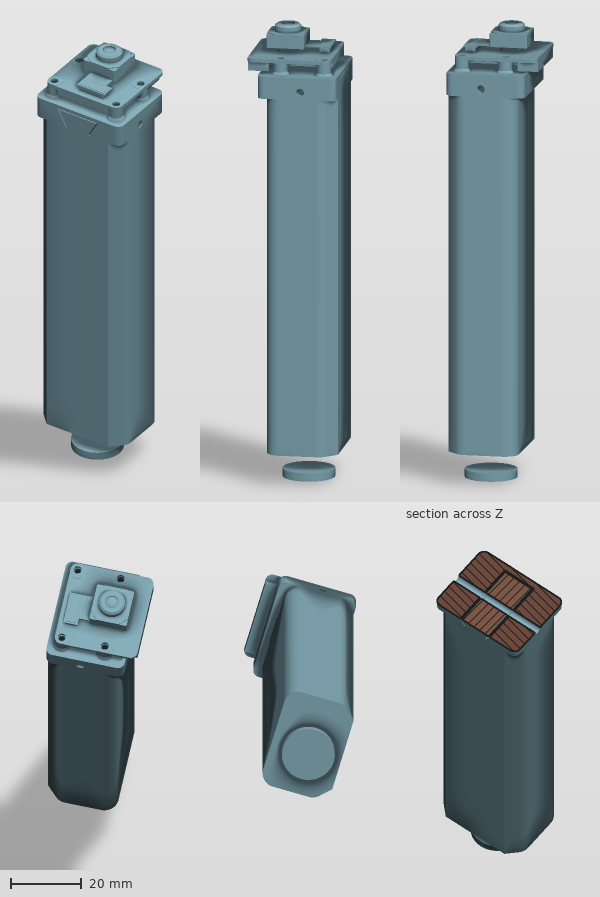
import cadquery as cq
import math

DISC_THICKNESS = 2.4
TUBE_BOTTOM = 9.0
TUBE_LENGTH = 103.7
CAP_HEIGHT = 6.5
POST_HEIGHT = 3.5
BOARD_THICKNESS = 1.0
TOTAL_HEIGHT = 131.4

CAP_BOTTOM = TUBE_BOTTOM + TUBE_LENGTH
CAP_TOP = CAP_BOTTOM + CAP_HEIGHT
BOARD_BOTTOM = CAP_TOP + POST_HEIGHT
BOARD_TOP = BOARD_BOTTOM + BOARD_THICKNESS

WIDTH = 29.0
TUBE_DEPTH = 20.4
TUBE_CORNER = 4.1

TONGUE_HEIGHT = 5.0
TONGUE_ROOT_WIDTH = 7.2
TONGUE_TOP_WIDTH = 12.7
DOVETAIL_GAP = 0.3

CAP_DEPTH = 22.6
CAP_CORNER_RADIUS = 2.0
POST_DIAMETER = 3.8
POST_FOOT_DIAMETER = 5.1
POST_FOOT_HEIGHT = 0.9
POST_BORE = 1.8
LOCK_HOLE_DIAMETER = 2.2
LOCK_HOLE_Y = TUBE_DEPTH / 2
LOCK_HOLE_BELOW_TOP = 4.2

BOARD_WIDTH = 25.0
BOARD_LENGTH = 23.9
BOARD_REAR = 25.9
BOARD_FRONT = BOARD_REAR - BOARD_LENGTH
HOLE_INSET = 2.0
HOLE_ROW_SPACING = 12.5
BOARD_HOLE = 2.2
PAD_DIAMETER = 5.1
PAD_THICKNESS = 0.07
POST_X = BOARD_WIDTH / 2 - HOLE_INSET
FRONT_POST_Y = BOARD_FRONT + HOLE_INSET
REAR_POST_Y = FRONT_POST_Y + HOLE_ROW_SPACING
POST_POINTS = [(x, y) for x in (-POST_X, POST_X) for y in (FRONT_POST_Y, REAR_POST_Y)]

SOCKET_WIDTH = 21.0
SOCKET_DEPTH = 5.9
SOCKET_HEIGHT = 2.9
SPACER_WIDTH = 16.3
SPACER_HEIGHT = 1.6

CAMERA_Y = 16.2
PILLAR_WIDTH = 6.0
PILLAR_CHAMFER = 1.0
CAMERA_WIDTH = 10.8
PILLAR_HEIGHT = 1.6
CAMERA_BOTTOM = BOARD_TOP + PILLAR_HEIGHT
CAMERA_TOP = 129.3
CAMERA_EDGE_RADIUS = 0.5
CORNER_STEP_LEG = 2.2
CORNER_STEP_DEPTH = 0.3

BARREL_DIAMETER = 7.5
RIM_DIAMETER = 6.3
RIM_BEVEL_HEIGHT = 0.5
LENS_DIAMETER = 3.8
LENS_RECESS = 0.4
LENS_DOME = 0.3

CABLE_THICKNESS = 0.4
CABLE_LEFT = -2.6
NECK_RIGHT = 4.6
FOOT_RIGHT = 6.7
FOOT_FRONT = 3.5
FOOT_REAR = 7.6
PLUG_LEFT = -2.1
PLUG_RIGHT = 6.2
PLUG_FRONT = 4.0
PLUG_REAR = 6.8
PLUG_ABOVE_CABLE = 0.1

DISC_DIAMETER = 15.0
DISC_Y = TUBE_DEPTH / 2


def block(x_range, y_range, z_range):
    """Box given by its limits along each axis."""
    (x0, x1), (y0, y1), (z0, z1) = x_range, y_range, z_range
    return cq.Workplane("XY").box(x1 - x0, y1 - y0, z1 - z0, centered=False).translate((x0, y0, z0))


def centred_block(width, y_range, z_range):
    """Box centred on X."""
    return block((-width / 2, width / 2), y_range, z_range)


def cylinders(points, diameter, bottom, height):
    """Equal upright cylinders at the given points."""
    return cq.Workplane("XY").workplane(offset=bottom).pushPoints(points).circle(diameter / 2).extrude(height)


def dovetail(gap):
    """Dovetail rising from the tube's end face, widened by the gap on its flanks, top and rear."""
    flank_rise = 2 * TONGUE_HEIGHT
    flank_run = TONGUE_TOP_WIDTH - TONGUE_ROOT_WIDTH
    side_gap = gap * math.hypot(flank_rise, flank_run) / flank_rise
    root_half = TONGUE_ROOT_WIDTH / 2 + side_gap
    height = TONGUE_HEIGHT + gap
    top_half = root_half + height * flank_run / flank_rise
    outline = [(-root_half, 0), (root_half, 0), (top_half, height), (-top_half, height)]
    return (
        cq.Workplane("XZ", origin=(0, 0, CAP_BOTTOM)).polyline(outline).close().extrude(-(TUBE_DEPTH + gap))
    )


def lock_hole():
    """Cross hole that runs through the cap and the tongue."""
    center = (-WIDTH / 2, LOCK_HOLE_Y, CAP_TOP - LOCK_HOLE_BELOW_TOP)
    return cq.Workplane("YZ", origin=center).circle(LOCK_HOLE_DIAMETER / 2).extrude(WIDTH)


def make_tube():
    """Long body with chamfered and eased front corners, rounded rear corners and a dovetail tongue."""
    half = WIDTH / 2
    outline = [
        (-half + TUBE_CORNER, 0),
        (half - TUBE_CORNER, 0),
        (half, TUBE_CORNER),
        (half, TUBE_DEPTH),
        (-half, TUBE_DEPTH),
        (-half, TUBE_CORNER),
    ]
    body = (
        cq.Workplane("XY", origin=(0, 0, TUBE_BOTTOM)).polyline(outline).close().extrude(TUBE_LENGTH)
        .edges("|Z and (<X or >X)").fillet(TUBE_CORNER)
    )
    return body.union(dovetail(0)).cut(lock_hole())


def make_cap():
    """Rounded block with a dovetail slot and four bored posts on flared feet."""
    body = centred_block(WIDTH, (0, CAP_DEPTH), (CAP_BOTTOM, CAP_TOP)).edges("|Z").fillet(CAP_CORNER_RADIUS)
    body = body.cut(dovetail(DOVETAIL_GAP)).cut(lock_hole())
    body = body.union(cylinders(POST_POINTS, POST_DIAMETER, CAP_TOP, POST_HEIGHT))
    foot = cq.Solid.makeCone(POST_FOOT_DIAMETER / 2, POST_DIAMETER / 2, POST_FOOT_HEIGHT)
    for x, y in POST_POINTS:
        body = body.union(cq.Workplane(foot.translate(cq.Vector(x, y, CAP_TOP))))
    return body.cut(cylinders(POST_POINTS, POST_BORE, CAP_TOP, POST_HEIGHT))


def board_slab(bottom, top):
    """Slab with the rounded outline of the circuit board."""
    slab = centred_block(BOARD_WIDTH, (BOARD_FRONT, BOARD_REAR), (bottom, top))
    return slab.edges("|Z").fillet(HOLE_INSET)


def make_circuit_board():
    """Board with ring pads around its holes and two blocks on its underside."""
    board = board_slab(BOARD_BOTTOM, BOARD_TOP)
    pad_top = BOARD_TOP + PAD_THICKNESS
    pads = board_slab(BOARD_TOP, pad_top).intersect(
        cylinders(POST_POINTS, PAD_DIAMETER, BOARD_TOP, PAD_THICKNESS)
    )
    socket_front = BOARD_REAR - SOCKET_DEPTH
    socket = centred_block(
        SOCKET_WIDTH, (socket_front, BOARD_REAR), (BOARD_BOTTOM - SOCKET_HEIGHT, BOARD_BOTTOM)
    )
    spacer = centred_block(
        SPACER_WIDTH, (BOARD_FRONT, socket_front), (BOARD_BOTTOM - SPACER_HEIGHT, BOARD_BOTTOM)
    )
    board = board.union(pads).union(socket).union(spacer)
    return board.cut(cylinders(POST_POINTS, BOARD_HOLE, BOARD_BOTTOM, pad_top - BOARD_BOTTOM))


def camera_centred_block(width, bottom, top):
    """Square block on the camera axis."""
    return centred_block(width, (CAMERA_Y - width / 2, CAMERA_Y + width / 2), (bottom, top))


def make_camera_block():
    """Square block on a pillar, its four top corners stepped down."""
    pillar = camera_centred_block(PILLAR_WIDTH, BOARD_TOP, CAMERA_BOTTOM).edges("|Z").chamfer(PILLAR_CHAMFER)
    step_z = CAMERA_TOP - CORNER_STEP_DEPTH
    lower = camera_centred_block(CAMERA_WIDTH, CAMERA_BOTTOM, step_z).edges("|Z").fillet(CAMERA_EDGE_RADIUS)
    upper = camera_centred_block(CAMERA_WIDTH, step_z, CAMERA_TOP).edges("|Z").chamfer(CORNER_STEP_LEG)
    return pillar.union(lower).union(upper)


def make_lens_barrel():
    """Turned barrel with a bevelled rim and a domed lens in a recess."""
    lens_radius = LENS_DIAMETER / 2
    lens_edge = TOTAL_HEIGHT - LENS_RECESS
    dome_radius = (lens_radius**2 + LENS_DOME**2) / (2 * LENS_DOME)
    dome_angle = math.asin(lens_radius / dome_radius) / 2
    dome_middle = (
        dome_radius * math.sin(dome_angle),
        lens_edge + LENS_DOME - dome_radius * (1 - math.cos(dome_angle)),
    )
    profile = (
        cq.Workplane("XZ", origin=(0, CAMERA_Y, 0))
        .moveTo(0, CAMERA_TOP)
        .lineTo(BARREL_DIAMETER / 2, CAMERA_TOP)
        .lineTo(BARREL_DIAMETER / 2, TOTAL_HEIGHT - RIM_BEVEL_HEIGHT)
        .lineTo(RIM_DIAMETER / 2, TOTAL_HEIGHT)
        .lineTo(lens_radius, TOTAL_HEIGHT)
        .lineTo(lens_radius, lens_edge)
        .threePointArc(dome_middle, (0, lens_edge + LENS_DOME))
        .close()
    )
    return profile.revolve(360, (0, 0, 0), (0, 1, 0))


def make_cable():
    """Flat cable leaving the camera block to a wider foot with a plug standing on the board."""
    cable_z = (CAMERA_BOTTOM, CAMERA_BOTTOM + CABLE_THICKNESS)
    neck = block((CABLE_LEFT, NECK_RIGHT), (FOOT_FRONT, CAMERA_Y), cable_z)
    foot = block((CABLE_LEFT, FOOT_RIGHT), (FOOT_FRONT, FOOT_REAR), cable_z)
    plug_z = (BOARD_TOP, CAMERA_BOTTOM + CABLE_THICKNESS + PLUG_ABOVE_CABLE)
    plug = block((PLUG_LEFT, PLUG_RIGHT), (PLUG_FRONT, PLUG_REAR), plug_z)
    return neck.union(foot).union(plug)


def make_camera_board():
    """Circuit board, camera block, lens barrel and cable as one body."""
    return make_circuit_board().union(make_camera_block()).union(make_lens_barrel()).union(make_cable())


def make_disc():
    """Round disc below the tube."""
    return cylinders([(0, DISC_Y)], DISC_DIAMETER, 0, DISC_THICKNESS)


tube = make_tube()
cap = make_cap()
camera_board = make_camera_board()
disc = make_disc()

result = cq.Compound.makeCompound([tube.val(), cap.val(), camera_board.val(), disc.val()])